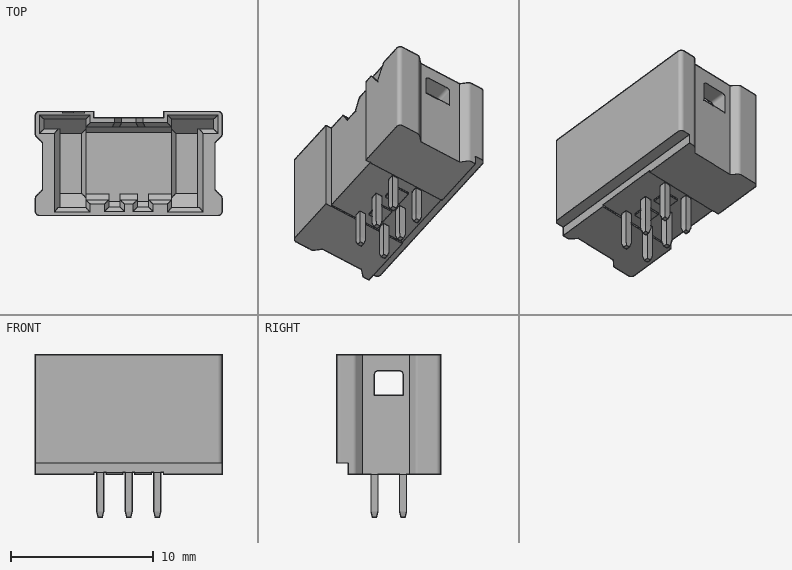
import cadquery as cq
import math

body_length = 13.1
body_width = 7.3
body_height = 8.4
corner_radius = 0.3
half_length = body_length / 2
half_width = body_width / 2

end_recess_depth = 0.5
end_recess_front = -1.85
end_recess_back = 1.45
back_recess_depth = 0.45
back_recess_half_length = 2.45
foot_step = 0.8

rim_chamfer = 0.3
bay_half_length = 4.8
key_slot_end_wall = 0.6
key_slot_half_length = half_length - key_slot_end_wall
key_slot_front = 2.4
key_slot_back = 3.1
bay_front = -3.1
center_half_length = 3.0
center_half_width = 2.55
rib_gap_pitch = 2.0
rib_gap_width = 0.8
rib_gap_front = -3.06

end_lead_in_width = 0.4
end_lead_in_depth = 0.5

floor_height = 1.2
center_ramp = 0.4
bay_drop = 0.3
bay_ramp = 1.0

notch_depth = 1.0
notch_top_half = 1.0
notch_bottom_half = 0.5

window_width = 2.0
window_bottom = 5.55
window_top = 7.25
window_radius = 0.25

mark_center = -3.87
mark_half_length = 0.76
mark_depth = 0.13
mark_height = mark_half_length * math.sqrt(3)

underside_recess_half_length = 2.43
underside_recess_depth = 0.15
pad_size = 1.16

pin_pitch = 2.0
pin_columns = 3
pin_rows = 2
pin_size = 0.5
pin_length = 3.0
pin_tip_length = 0.4
pin_tip_size = 0.3


def block(x_min, x_max, y_min, y_max, z_min, z_max):
    """Box given by its limits along each axis."""
    size = (x_max - x_min, y_max - y_min, z_max - z_min)
    return cq.Workplane("XY").box(*size, centered=False).translate((x_min, y_min, z_min))


def ruled_solid(first_points, second_points):
    """Solid with straight sides between two polygons with matching corners."""
    wires = []
    for points in (first_points, second_points):
        corners = [cq.Vector(*point) for point in points]
        wires.append(cq.Wire.makePolygon(corners, close=True))
    return cq.Workplane(cq.Solid.makeLoft(wires, True))


def prism_along_x(yz_points, x_min, x_max):
    """Solid with a constant YZ profile between two X positions."""
    profile = cq.Workplane("YZ", origin=(x_min, 0, 0)).polyline(yz_points).close()
    return profile.extrude(x_max - x_min)


def mirror_pair(solid):
    """The solid together with its mirror image across the YZ plane."""
    return solid.union(solid.mirror("YZ"))


def housing_block():
    """Outer block with recessed ends, a recessed back face and a step along the front foot."""
    bevel = end_recess_depth
    right_side = [
        (half_length, -half_width),
        (half_length, end_recess_front - bevel),
        (half_length - end_recess_depth, end_recess_front),
        (half_length - end_recess_depth, end_recess_back),
        (half_length, end_recess_back + bevel),
        (half_length, half_width),
    ]
    left_side = [(-x, y) for x, y in reversed(right_side)]
    block_body = cq.Workplane("XY").polyline(right_side + left_side).close().extrude(body_height)
    outer_edges = block_body.edges("|Z").edges(">X or <X")
    block_body = outer_edges.fillet(corner_radius)

    back_recess = block(
        -back_recess_half_length, back_recess_half_length,
        half_width - back_recess_depth, half_width, 0, body_height,
    )
    front_step = block(
        -half_length, half_length, -half_width, foot_step - half_width, 0, foot_step
    )
    return block_body.cut(back_recess).cut(front_step)


def cavity_outline(offset, bay_offset, z):
    """Cavity outline at height z, with its walls moved outward by the offsets."""
    gap_left = (rib_gap_pitch - rib_gap_width) / 2 - offset
    gap_right = (rib_gap_pitch + rib_gap_width) / 2 + offset
    rib_back = -center_half_width - offset
    gap_y = rib_gap_front - offset
    bay_x = bay_half_length + bay_offset
    slot_x = key_slot_half_length + offset
    center_x = center_half_length - offset
    right_side = [
        (gap_left, rib_back),
        (gap_left, gap_y),
        (gap_right, gap_y),
        (gap_right, rib_back),
        (center_x, rib_back),
        (center_x, bay_front - offset),
        (bay_x, bay_front - offset),
        (bay_x, key_slot_front - offset),
        (slot_x, key_slot_front - offset),
        (slot_x, key_slot_back + offset),
        (center_x, key_slot_back + offset),
        (center_x, center_half_width + offset),
    ]
    left_side = [(-x, y) for x, y in reversed(right_side)]
    return [(x, y, z) for x, y in right_side + left_side]


def rim_chamfer_cut():
    """Chamfer round the cavity mouth, with the longer lead-in on the end walls."""
    chamfer_base = body_height - rim_chamfer
    bay_offset_at_base = end_lead_in_width * (1 - rim_chamfer / end_lead_in_depth)
    mouth = ruled_solid(
        cavity_outline(0, bay_offset_at_base, chamfer_base),
        cavity_outline(rim_chamfer, end_lead_in_width, body_height),
    )
    lead_in_base = body_height - end_lead_in_depth
    inner_x = bay_half_length - bay_offset_at_base
    lead_in = ruled_solid(
        [
            (inner_x, bay_front, lead_in_base),
            (bay_half_length, bay_front, lead_in_base),
            (bay_half_length, key_slot_front, lead_in_base),
            (inner_x, key_slot_front, lead_in_base),
        ],
        [
            (inner_x, bay_front, chamfer_base),
            (bay_half_length + bay_offset_at_base, bay_front, chamfer_base),
            (bay_half_length + bay_offset_at_base, key_slot_front, chamfer_base),
            (inner_x, key_slot_front, chamfer_base),
        ],
    )
    return mouth.union(mirror_pair(lead_in))


def cavity_cut():
    """Straight-walled cavity with a ramped floor and deeper bays at both ends."""
    bay_floor = floor_height - bay_drop
    outline = cavity_outline(0, 0, bay_floor)
    outline_points = [(x, y) for x, y, _ in outline]
    profile = cq.Workplane("XY", origin=(0, 0, bay_floor)).polyline(outline_points).close()
    cavity = profile.extrude(body_height - bay_floor)
    return cavity.cut(center_floor()).cut(bay_ramps())


def center_floor():
    """Raised middle floor with sloped ends and 45 degree ramps at its front and back."""
    bay_floor = floor_height - bay_drop
    base_x = center_half_length + bay_drop
    slab_profile = [
        (-base_x, bay_floor),
        (base_x, bay_floor),
        (center_half_length, floor_height),
        (-center_half_length, floor_height),
    ]
    slab = cq.Workplane("XZ").polyline(slab_profile).close().extrude(half_width, both=True)

    def ramp(wall_y, x_min, x_max):
        toward_middle = -math.copysign(center_ramp, wall_y)
        triangle = [
            (wall_y, floor_height),
            (wall_y + toward_middle, floor_height),
            (wall_y, floor_height + center_ramp),
        ]
        return prism_along_x(triangle, x_min, x_max)

    gap_left = (rib_gap_pitch - rib_gap_width) / 2
    gap_right = (rib_gap_pitch + rib_gap_width) / 2
    slab = slab.union(ramp(center_half_width, -center_half_length, center_half_length))
    slab = slab.union(ramp(-center_half_width, -gap_left, gap_left))
    outer_rib_ramp = ramp(-center_half_width, gap_right, center_half_length)
    gap_ramp = ramp(rib_gap_front, gap_left, gap_right)
    return slab.union(mirror_pair(outer_rib_ramp)).union(mirror_pair(gap_ramp))


def bay_ramps():
    """45 degree ramps at the front and back of the two end bays."""
    bay_floor = floor_height - bay_drop
    front_ramp = [
        (bay_front, bay_floor),
        (bay_front + bay_ramp, bay_floor),
        (bay_front, bay_floor + bay_ramp),
    ]
    back_ramp = [
        (key_slot_back, bay_floor),
        (key_slot_back - bay_ramp, bay_floor),
        (key_slot_back, bay_floor + bay_ramp),
    ]
    front = prism_along_x(front_ramp, center_half_length, bay_half_length)
    back = prism_along_x(back_ramp, center_half_length, key_slot_half_length)
    return mirror_pair(front).union(mirror_pair(back))


def notch_cut():
    """Trapezoidal notch through the back wall with a chamfered inner edge."""
    slope = (notch_top_half - notch_bottom_half) / notch_depth

    def section(y, offset):
        bottom = body_height - notch_depth - offset
        bottom_half = notch_bottom_half + offset * (1 - slope)
        top_half = notch_top_half + offset
        return [
            (-bottom_half, y, bottom),
            (bottom_half, y, bottom),
            (top_half, y, body_height),
            (-top_half, y, body_height),
        ]

    chamfer_back = center_half_width + rim_chamfer
    opening = ruled_solid(section(center_half_width, 0), section(half_width, 0))
    chamfer = ruled_solid(section(center_half_width, rim_chamfer), section(chamfer_back, 0))
    return opening.union(chamfer)


def window_cut():
    """Window through both end walls with rounded upper corners."""
    window = block(
        -half_length, half_length, -window_width / 2, window_width / 2, window_bottom, window_top
    )
    return window.edges("|X and >Z").fillet(window_radius)


def mark_cut():
    """Triangular first-pin mark sunk into the back face, open at the top."""
    triangle = [
        (mark_center - mark_half_length, body_height),
        (mark_center + mark_half_length, body_height),
        (mark_center, body_height - mark_height),
    ]
    return cq.Workplane("XZ", origin=(0, half_width, 0)).polyline(triangle).close().extrude(mark_depth)


def underside_cut():
    """Shallow channel under the pin field that leaves a pad between neighbouring pin columns."""
    channel = block(
        -underside_recess_half_length, underside_recess_half_length,
        -half_width, half_width, 0, underside_recess_depth,
    )
    half_pad = pad_size / 2
    for gap in range(pin_columns - 1):
        pad_x = (gap - (pin_columns - 2) / 2) * pin_pitch
        pad = block(
            pad_x - half_pad, pad_x + half_pad, -half_pad, half_pad, 0, underside_recess_depth
        )
        channel = channel.cut(pad)
    return channel


def pin():
    """Square pin with a tapered tip, rooted in the housing floor."""
    tip_start = pin_tip_length - pin_length
    root = floor_height / 2
    shank = cq.Workplane("XY", origin=(0, 0, tip_start)).rect(pin_size, pin_size)
    shank = shank.extrude(root - tip_start)
    tip = cq.Workplane("XY", origin=(0, 0, tip_start)).rect(pin_size, pin_size)
    tip = tip.workplane(offset=-pin_tip_length).rect(pin_tip_size, pin_tip_size).loft(ruled=True)
    return shank.union(tip)


result = housing_block()
for feature in (cavity_cut, rim_chamfer_cut, notch_cut, window_cut, mark_cut, underside_cut):
    result = result.cut(feature())

for column in range(pin_columns):
    for row in range(pin_rows):
        pin_x = (column - (pin_columns - 1) / 2) * pin_pitch
        pin_y = (row - (pin_rows - 1) / 2) * pin_pitch
        result = result.union(pin().translate((pin_x, pin_y, 0)))